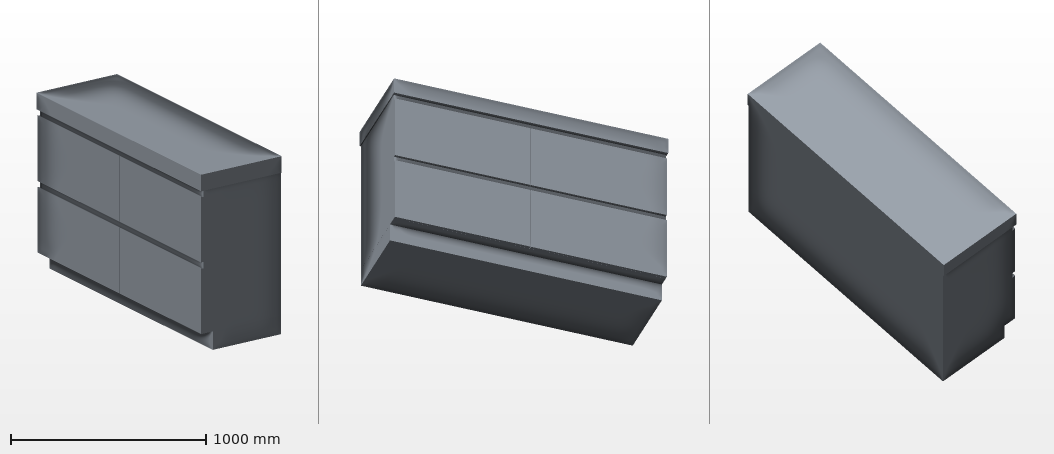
import cadquery as cq

total_width = 1500.0
total_depth = 500.0
total_height = 970.0

worktop_thickness = 90.0
edge_strip_thickness = 2.0

board_thickness = 15.0
carcass_width = 1488.0
carcass_depth = 480.0
rail_setback = 0.3

columns = 2
rows = 2
front_height = 358.0
finger_gap = 32.0
centre_gap = 3.0
front_top_drop = 6.0

plinth_depth = 423.0
plinth_return_inset = 0.3

back_y = total_depth / 2
carcass_front_y = back_y - carcass_depth
worktop_base_z = total_height - worktop_thickness
row_pitch = front_height + finger_gap
carcass_height = rows * row_pitch
plinth_height = worktop_base_z - carcass_height
front_width = (carcass_width - (columns - 1) * centre_gap) / columns


def block(width, depth, height, centre_x, front_y, base_z):
    """Box centred on centre_x, running back from front_y and up from base_z."""
    return (
        cq.Workplane("XY")
        .box(width, depth, height, centered=(True, False, False))
        .translate((centre_x, front_y, base_z))
    )


def make_worktop():
    width = total_width - 2 * edge_strip_thickness
    return block(width, total_depth, worktop_thickness, 0, -back_y, worktop_base_z)


def make_edge_strip(side):
    """Edge strip on one end of the worktop; side is -1 or 1."""
    centre_x = side * (total_width - edge_strip_thickness) / 2
    return block(
        edge_strip_thickness, total_depth, worktop_thickness, centre_x, -back_y, worktop_base_z
    )


def make_carcass():
    body = block(carcass_width, carcass_depth, carcass_height, 0, carcass_front_y, plinth_height)
    inside_width = carcass_width - 2 * board_thickness
    recess = block(inside_width, rail_setback, carcass_height, 0, carcass_front_y, plinth_height)
    return body.cut(recess)


def make_plinth():
    front_y = back_y - plinth_depth
    front_board = block(carcass_width, board_thickness, plinth_height, 0, front_y, 0)
    base_width = carcass_width - 2 * plinth_return_inset
    base = block(base_width, plinth_depth, plinth_height, 0, front_y, 0)
    return front_board.union(base)


def make_drawer_front(column, row):
    centre_x = (column - (columns - 1) / 2) * (front_width + centre_gap)
    base_z = plinth_height + row * row_pitch
    front_y = carcass_front_y - board_thickness
    board = block(front_width, board_thickness, front_height, centre_x, front_y, base_z)
    top_z = base_z + front_height
    bevel = (
        cq.Workplane("YZ")
        .polyline([
            (front_y, top_z),
            (carcass_front_y, top_z),
            (carcass_front_y, top_z - front_top_drop),
        ])
        .close()
        .extrude(front_width / 2, both=True)
        .translate((centre_x, 0, 0))
    )
    return board.cut(bevel)


worktop = make_worktop()
edge_strips = [make_edge_strip(side) for side in (-1, 1)]
carcass = make_carcass()
plinth = make_plinth()
drawer_fronts = [
    make_drawer_front(column, row)
    for row in range(rows)
    for column in range(columns)
]

result = cq.Compound.makeCompound([
    worktop.val(),
    *[strip.val() for strip in edge_strips],
    carcass.val(),
    plinth.val(),
    *[front.val() for front in drawer_fronts],
])